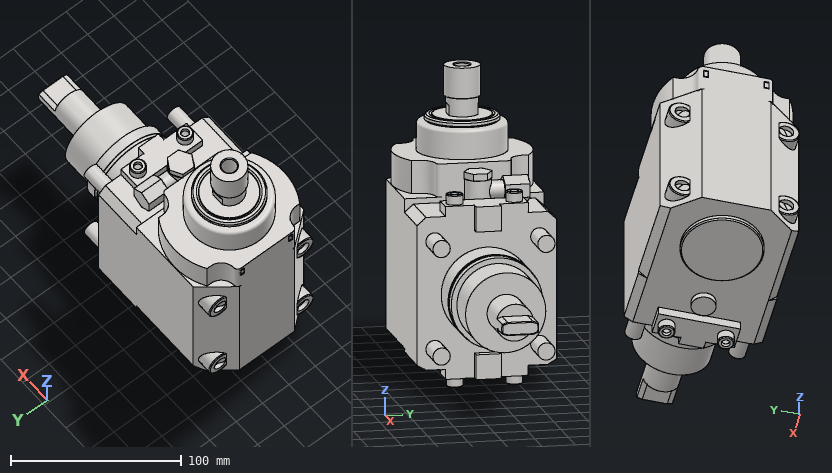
import cadquery as cq
import math


half_width = 42.0
front_x = -34.8
step_x = 34.8
rear_x = 70.0
base_z = -45.2
shoulder_z = 50.5
rear_top_z = 47.1
front_face_half_width = 20.9
front_bevel_length = 17.0
base_chamfer = 5.4
rear_chamfer_width = 5.4
rear_top_chamfer_height = 4.8
rear_base_chamfer_height = 3.2

cap_top_z = 70.5
cap_radius = 41.8
scallop_radius = 9.7
scallop_edge_x = 22.5
scallop_edge_y = 22.7
cap_corner_radius = 3.0
pocket_width = 2.8
pocket_bottom_z = 62.0
pocket_top_z = 67.2
pocket_depth = 0.5

nose_radius = 27.0
nose_top_z = 88.3
nose_fillet = 2.2
undercut_radius = 21.3
nut_radius = 22.3
nut_bottom_z = 89.1
nut_top_z = 92.0
nut_chamfer = 1.0
ring_groove_inner_radius = 18.0
ring_groove_floor_radius = 18.1
ring_groove_outer_radius = 19.3
ring_groove_depth = 0.8
neck_radius = 9.7
head_radius = 11.0
head_bottom_z = 103.2
head_top_z = 121.7
bore_radius = 4.8
bore_chamfer = 0.5
bore_depth = 18.7
flat_half_gap = 8.8
flat_top_z = 98.0

cover_radius = 24.7
cover_bottom_z = -48.3
cover_chamfer = 0.8

collar_radius = 27.5
collar_groove_start_x = 89.3
collar_groove_end_x = 91.5
collar_groove_depth = 0.4
collar_end_x = 98.3
shank_radius = 24.0
shank_end_x = 122.7
drive_radius = 11.1
drive_end_x = 148.5
tenon_end_x = 164.0
tenon_half_height = 4.0
tenon_edge_half_height = 2.8
tenon_flat_half_width = 7.5
tenon_end_chamfer = 0.5

bolt_y = 31.5
bolt_z = 32.5
bolt_head_x = -30.0
bolt_head_radius = 8.2
bolt_head_end_x = -16.0
bolt_socket_radius = 4.4
bolt_socket_depth = 3.0
bolt_shank_radius = 5.2
bolt_end_x = 90.0
head_edge_chamfer = 0.5

plate_start_x = 55.0
plate_thickness = 6.0
plate_half_width = 24.9
key_end_x = 75.0
key_half_width = 7.5
key_height = 15.1
screw_x = 62.9
screw_y = 18.0
screw_radius = 5.0
screw_height = 6.0
screw_socket_radius = 2.5
screw_socket_depth = 2.4

fitting_x = 45.0
hex_head_across_flats = 14.7
nut_across_flats = 14.0
washer_radius = 7.4
ring_bottom_z = 48.7
ring_top_z = 63.3
ring_radius = 8.0
hex_top_z = 67.5
pipe_radius = 5.5
nut_start_y = 15.0
nut_end_y = 29.8
plug_height = 3.8


def cylinder_x(radius, start, end, y=0, z=0):
    return cq.Workplane("YZ", origin=(start, y, z)).circle(radius).extrude(end - start)


def cylinder_z(radius, start, end, x=0, y=0):
    return cq.Workplane("XY", origin=(x, y, start)).circle(radius).extrude(end - start)


def block(x_range, y_range, z_range):
    sizes = [high - low for low, high in (x_range, y_range, z_range)]
    return cq.Workplane("XY").box(*sizes, centered=False).translate((x_range[0], y_range[0], z_range[0]))


def chamfered_section(start, end, top_z, top_chamfer, bottom_chamfer):
    """Full-width bar along X; each chamfer is a (width, height) pair."""
    top_width, top_height = top_chamfer
    base_width, base_height = bottom_chamfer
    right_side = [
        (half_width - base_width, base_z),
        (half_width, base_z + base_height),
        (half_width, top_z - top_height),
    ]
    if top_width > 0:
        right_side.append((half_width - top_width, top_z))
    left_side = [(-y, z) for y, z in reversed(right_side)]
    return (
        cq.Workplane("YZ", origin=(start, 0, 0))
        .polyline(right_side + left_side)
        .close()
        .extrude(end - start)
    )


def housing():
    tall = (
        cq.Workplane("XY", origin=(0, 0, base_z))
        .polyline([
            (front_x, -front_face_half_width),
            (front_x + front_bevel_length, -half_width),
            (step_x, -half_width),
            (step_x, half_width),
            (front_x + front_bevel_length, half_width),
            (front_x, front_face_half_width),
        ])
        .close()
        .extrude(shoulder_z - base_z)
    )
    section = chamfered_section(front_x, step_x, shoulder_z, (0, 0), (base_chamfer, base_chamfer))
    rear = chamfered_section(
        step_x,
        rear_x,
        rear_top_z,
        (rear_chamfer_width, rear_top_chamfer_height),
        (rear_chamfer_width, rear_base_chamfer_height),
    )
    return tall.intersect(section).union(rear)


def cap_plate():
    """Round plate trimmed to the block length, with a scallop over each corner bolt."""
    plate = cylinder_z(cap_radius, shoulder_z, cap_top_z).intersect(
        block((front_x, step_x), (-cap_radius, cap_radius), (shoulder_z, cap_top_z))
    )
    scallop_x = scallop_edge_x + scallop_radius
    scallop_y = scallop_edge_y + scallop_radius
    rounded_cutter = (
        cq.Workplane("XY", origin=(0, 0, shoulder_z))
        .moveTo(scallop_edge_x, cap_radius)
        .lineTo(scallop_edge_x, scallop_y)
        .radiusArc((scallop_x, scallop_edge_y), -scallop_radius)
        .lineTo(cap_radius, scallop_edge_y)
        .lineTo(cap_radius, cap_radius)
        .close()
        .extrude(cap_top_z - shoulder_z)
    )
    for cutter in (rounded_cutter, rounded_cutter.mirror("YZ")):
        plate = plate.cut(cutter).cut(cutter.mirror("XZ"))
    for x in (front_x, step_x):
        for y in (-scallop_edge_y, scallop_edge_y):
            corner = cq.selectors.NearestToPointSelector((x, y, (shoulder_z + cap_top_z) / 2))
            plate = plate.edges(corner).fillet(cap_corner_radius)
    pocket_outer_y = scallop_edge_y - cap_corner_radius
    for side in (-1, 1):
        y_limits = sorted((side * (pocket_outer_y - pocket_width), side * pocket_outer_y))
        plate = plate.cut(
            block((front_x, front_x + pocket_depth), y_limits, (pocket_bottom_z, pocket_top_z))
        )
    return plate


def spindle():
    nose = cylinder_z(nose_radius, shoulder_z, nose_top_z).faces(">Z").edges().fillet(nose_fillet)
    undercut = cylinder_z(undercut_radius, nose_top_z, nut_bottom_z)
    nut = cylinder_z(nut_radius, nut_bottom_z, nut_top_z).faces(">Z").edges().chamfer(nut_chamfer)
    ring_groove = (
        cq.Workplane("XZ")
        .polyline([
            (ring_groove_inner_radius, nut_top_z),
            (ring_groove_inner_radius, nut_top_z - ring_groove_depth),
            (ring_groove_floor_radius, nut_top_z - ring_groove_depth),
            (ring_groove_outer_radius, nut_top_z),
        ])
        .close()
        .revolve(360, (0, 0, 0), (0, 1, 0))
    )
    nut = nut.cut(ring_groove)
    neck = cylinder_z(neck_radius, nut_top_z, head_bottom_z)
    runout = neck_radius - flat_half_gap
    for side in (-1, 1):
        wrench_flat = (
            cq.Workplane("YZ", origin=(-neck_radius, 0, 0))
            .polyline([
                (side * flat_half_gap, nut_top_z),
                (side * flat_half_gap, flat_top_z),
                (side * neck_radius, flat_top_z + runout),
                (side * neck_radius, nut_top_z),
            ])
            .close()
            .extrude(2 * neck_radius)
        )
        neck = neck.cut(wrench_flat)
    head = cylinder_z(head_radius, head_bottom_z, head_top_z)
    head = head.cut(cylinder_z(bore_radius, head_top_z - bore_depth, head_top_z))
    head = head.faces(">Z").edges(cq.selectors.RadiusNthSelector(0)).chamfer(bore_chamfer)
    return nose.union(undercut).union(nut).union(neck).union(head)


def bottom_cover():
    return cylinder_z(cover_radius, cover_bottom_z, base_z).faces("<Z").edges().chamfer(cover_chamfer)


def arbor():
    collar = cylinder_x(collar_radius, rear_x, collar_end_x)
    floor_radius = collar_radius - collar_groove_depth
    groove_floor = cylinder_x(floor_radius, collar_groove_start_x, collar_groove_end_x)
    groove = cylinder_x(collar_radius, collar_groove_start_x, collar_groove_end_x).cut(groove_floor)
    shank = cylinder_x(shank_radius, collar_end_x, shank_end_x)
    drive = cylinder_x(drive_radius, shank_end_x, drive_end_x)
    tenon_section = (
        cq.Workplane("YZ", origin=(drive_end_x, 0, 0))
        .polyline([
            (-drive_radius, -tenon_edge_half_height),
            (-tenon_flat_half_width, -tenon_half_height),
            (tenon_flat_half_width, -tenon_half_height),
            (drive_radius, -tenon_edge_half_height),
            (drive_radius, tenon_edge_half_height),
            (tenon_flat_half_width, tenon_half_height),
            (-tenon_flat_half_width, tenon_half_height),
            (-drive_radius, tenon_edge_half_height),
        ])
        .close()
        .extrude(tenon_end_x - drive_end_x)
    )
    tenon = cylinder_x(drive_radius, drive_end_x, tenon_end_x).intersect(tenon_section)
    tenon = tenon.faces(">X").edges().chamfer(tenon_end_chamfer)
    return collar.cut(groove).union(shank).union(drive).union(tenon)


def cap_screw(radius, height, socket_radius, socket_depth):
    """Screw head standing on the XY plane, with a round socket ending in a 45 degree cone."""
    socket = (
        cq.Workplane("XZ")
        .polyline([
            (0, height),
            (socket_radius, height),
            (socket_radius, height - socket_depth),
            (0, height - socket_depth - socket_radius),
        ])
        .close()
        .revolve(360, (0, 0, 0), (0, 1, 0))
    )
    head = cylinder_z(radius, 0, height).faces(">Z").edges().chamfer(head_edge_chamfer)
    return head.cut(socket)


def clamping_bolt(y, z):
    head = cap_screw(
        bolt_head_radius, bolt_head_end_x - bolt_head_x, bolt_socket_radius, bolt_socket_depth
    )
    head = head.rotate((0, 0, 0), (0, 1, 0), -90).translate((bolt_head_end_x, y, z))
    return head.union(cylinder_x(bolt_shank_radius, rear_x, bolt_end_x, y, z))


def key_plate():
    """Plate on the XY plane with a key hooked over the mounting face and two screws."""
    plate = block((plate_start_x, rear_x), (-plate_half_width, plate_half_width), (0, plate_thickness))
    key = block(
        (rear_x, key_end_x),
        (-key_half_width, key_half_width),
        (plate_thickness - key_height, plate_thickness),
    )
    plate = plate.union(key)
    screw = cap_screw(screw_radius, screw_height, screw_socket_radius, screw_socket_depth)
    for y in (-screw_y, screw_y):
        plate = plate.union(screw.translate((screw_x, y, plate_thickness)))
    return plate


def hexagon_prism(across_flats, height):
    """Hexagonal prism standing on the XY plane with two corners on the Y axis."""
    across_corners = across_flats / math.cos(math.pi / 6)
    return cq.Workplane("XY").polygon(6, across_corners).extrude(height).rotate((0, 0, 0), (0, 0, 1), 90)


def coolant_fitting():
    washer = cylinder_z(washer_radius, rear_top_z, ring_bottom_z, fitting_x)
    ring = cylinder_z(ring_radius, ring_bottom_z, ring_top_z, fitting_x)
    hex_head = hexagon_prism(hex_head_across_flats, hex_top_z - ring_top_z)
    hex_head = hex_head.translate((fitting_x, 0, ring_top_z))
    pipe_z = (ring_bottom_z + ring_top_z) / 2
    pipe = cq.Workplane("XZ", origin=(fitting_x, 0, pipe_z)).circle(pipe_radius).extrude(-nut_start_y)
    nut = hexagon_prism(nut_across_flats, nut_end_y - nut_start_y).rotate((0, 0, 0), (1, 0, 0), -90)
    nut = nut.translate((fitting_x, nut_start_y, pipe_z))
    return washer.union(ring).union(hex_head).union(pipe).union(nut)


def plug():
    return cylinder_z(washer_radius, base_z - plug_height, base_z, fitting_x)


result = housing().union(cap_plate()).union(spindle()).union(bottom_cover()).union(arbor())
for side_y in (-1, 1):
    for side_z in (-1, 1):
        result = result.union(clamping_bolt(side_y * bolt_y, side_z * bolt_z))
upper_plate = key_plate().translate((0, 0, rear_top_z))
lower_plate = key_plate().mirror("XY").translate((0, 0, base_z))
result = result.union(upper_plate).union(lower_plate).union(coolant_fitting()).union(plug())